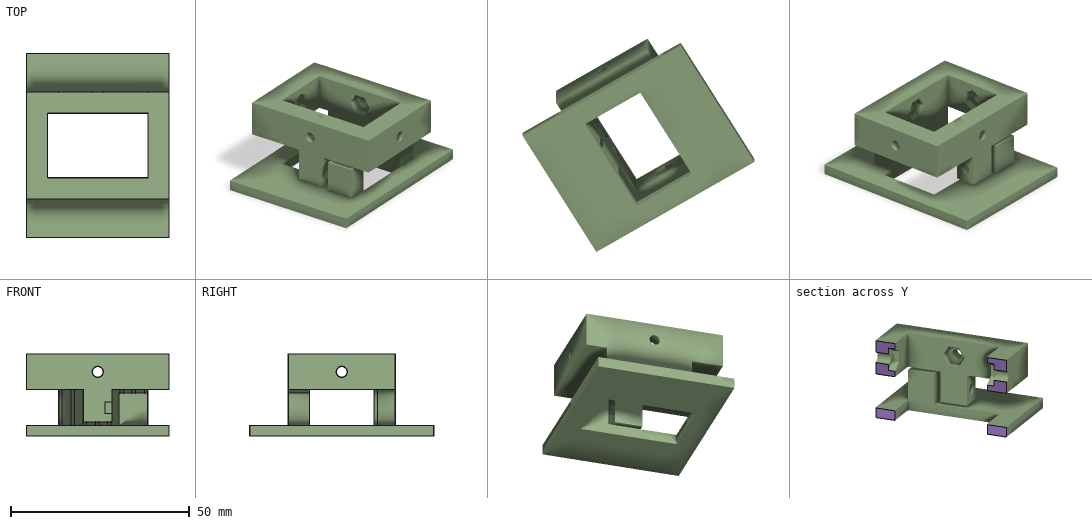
import cadquery as cq
import math

plate_width = 40.0
plate_depth = 51.6
plate_thickness = 3.0

frame_depth = 30.0
frame_height = 10.0
rim = 6.0
standoff = 10.0
frame_bottom = plate_thickness + standoff
opening_width = plate_width - 2 * rim
opening_depth = frame_depth - 2 * rim

support_y = frame_depth / 2 - rim / 2
block_width = 8.0
block_gap = 2.0
block_clearance = 1.0
block_height = standoff - block_clearance
standing_block_x = block_width + block_gap

wall_width = 25.0
wall_right = standing_block_x + block_width / 2
wall_x = wall_right - wall_width / 2
rib_count = 8
rib_size = 1.0
rib_pitch = (wall_width - rib_size) / (rib_count - 1)
rib_y = frame_depth / 2 - rim + rib_size / 2

screw_diameter = 3.0
nut_flats = 5.6
nut_depth = 2.0
nut_corner_diameter = nut_flats / math.cos(math.pi / 6)
frame_hole_z = frame_bottom + frame_height / 2
block_hole_z = plate_thickness + standoff / 2


def box(width, depth, height, x, y, bottom):
    """Box centred on x and y, standing on the height given by bottom."""
    return cq.Workplane("XY").box(width, depth, height, (True, True, False)).translate((x, y, bottom))


def opening(bottom, height):
    """Rectangular window shared by the plate and the frame."""
    return box(opening_width, opening_depth, height, 0, 0, bottom)


def nut_prism(length):
    """Hexagonal prism along +X with two flats facing +Y and -Y."""
    return cq.Workplane("YZ").polygon(6, nut_corner_diameter).extrude(length).rotate((0, 0, 0), (1, 0, 0), 90)


def screw_bore(length):
    """Round bore along X, centred on the origin."""
    return cq.Workplane("YZ").circle(screw_diameter / 2).extrude(length / 2, both=True)


def make_ribs():
    """Square ribs evenly spaced across the back wall, from its left end to its right end."""
    first_x = wall_right - wall_width + rib_size / 2
    ribs = cq.Workplane("XY")
    for index in range(rib_count):
        rib_x = first_x + index * rib_pitch
        ribs = ribs.add(box(rib_size, rib_size, standoff, rib_x, rib_y, plate_thickness))
    return ribs.combine()


def make_base():
    """Plate with its window, the grooved back wall and the standing block."""
    base = box(plate_width, plate_depth, plate_thickness, 0, 0, 0)
    base = base.cut(opening(0, plate_thickness))
    base = base.union(box(wall_width, rim, standoff, wall_x, support_y, plate_thickness))
    base = base.union(box(block_width, rim, block_height, standing_block_x, -support_y, plate_thickness))
    return base.cut(make_ribs())


def make_hanging_block():
    """Block below the front rim, bored along X with a nut recess in its right end."""
    block = box(block_width, rim, block_height, 0, -support_y, frame_bottom - block_height)
    bore = screw_bore(block_width).translate((0, -support_y, block_hole_z))
    nut = nut_prism(nut_depth).translate((block_width / 2 - nut_depth, -support_y, block_hole_z))
    return block.cut(bore).cut(nut)


def cut_frame_holes(frame):
    """Screw holes through all four rims, each with a nut recess on the inner side."""
    bore_along_x = screw_bore(plate_width)
    nuts_along_x = nut_prism(opening_width + 2 * nut_depth).translate((-opening_width / 2 - nut_depth, 0, 0))
    bore_along_y = screw_bore(frame_depth).rotate((0, 0, 0), (0, 0, 1), 90)
    nuts_along_y = (
        nut_prism(opening_depth + 2 * nut_depth)
        .translate((-opening_depth / 2 - nut_depth, 0, 0))
        .rotate((0, 0, 0), (1, 0, 0), 90)
        .rotate((0, 0, 0), (0, 0, 1), 90)
    )
    for cutter in (bore_along_x, nuts_along_x, bore_along_y, nuts_along_y):
        frame = frame.cut(cutter.translate((0, 0, frame_hole_z)))
    return frame


def make_frame():
    """Frame with its window, screw holes, hanging block and the ribs that fill the wall grooves."""
    frame = box(plate_width, frame_depth, frame_height, 0, 0, frame_bottom)
    frame = frame.cut(opening(frame_bottom, frame_height))
    frame = cut_frame_holes(frame)
    return frame.union(make_hanging_block()).union(make_ribs())


base = make_base()
frame = make_frame()

result = cq.Compound.makeCompound([base.solids().val(), frame.solids().val()])